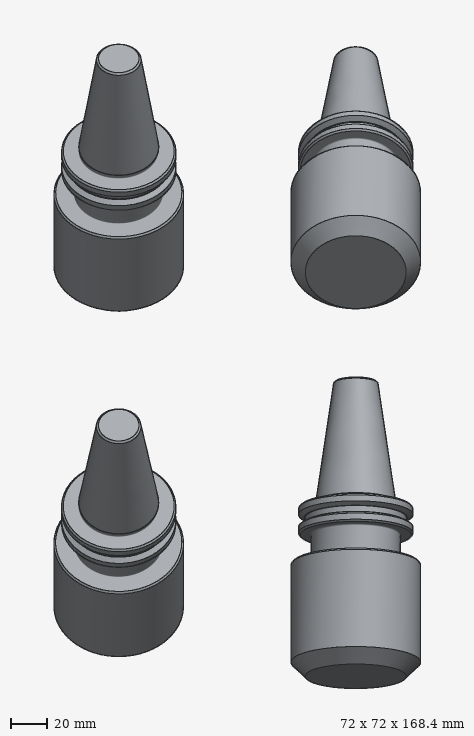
import cadquery as cq
import math


gauge_diameter = 44.45
gauge_land_length = 0.5
taper_length = 68.4
taper_ratio = 7 / 24
shank_end_chamfer = 1.0
relief_diameter = 44.0
relief_root_fillet = 0.35

flange_diameter = 63.55
flange_top = -3.2
flange_bottom = -19.1
flange_chamfer = 1.0
groove_center = -11.1
groove_rim_width = 7.0
groove_floor_width = 3.5
groove_floor_diameter = 56.25
groove_side_angle = 30

neck_diameter = 49.5
neck_top_fillet = 0.8
neck_bottom_fillet = 0.35

body_diameter = 72.0
body_top = -35.4
body_bottom = -100.0
body_top_chamfer = 1.0
body_nose_chamfer = 8.0


def cylinder(diameter, bottom, top):
    return cq.Workplane("XY").workplane(offset=bottom).circle(diameter / 2).extrude(top - bottom)


def revolve_about_z(profile):
    """Turn a closed profile, drawn as radius and height, once around the Z axis."""
    return profile.revolve(360, (0, 0), (0, 1))


def root_fillet(diameter, face_z, radius, direction):
    """Ring filling the corner of a cylinder and a flat face; direction is +1 above the face, -1 below."""
    wall = diameter / 2
    tangent_z = face_z + direction * radius
    arc_offset = radius * (1 - math.sqrt(0.5))
    profile = (
        cq.Workplane("XZ")
        .moveTo(wall, face_z)
        .lineTo(wall + radius, face_z)
        .threePointArc((wall + arc_offset, face_z + direction * arc_offset), (wall, tangent_z))
        .close()
    )
    return revolve_about_z(profile)


def make_shank():
    gauge_radius = gauge_diameter / 2
    end_radius = gauge_radius - taper_length * taper_ratio / 2
    profile = (
        cq.Workplane("XZ")
        .moveTo(0, -gauge_land_length)
        .lineTo(gauge_radius, -gauge_land_length)
        .lineTo(gauge_radius, 0)
        .lineTo(end_radius, taper_length)
        .lineTo(0, taper_length)
        .close()
    )
    taper = revolve_about_z(profile).faces(">Z").chamfer(shank_end_chamfer)
    relief = cylinder(relief_diameter, flange_top, -gauge_land_length)
    return taper.union(relief).union(root_fillet(relief_diameter, flange_top, relief_root_fillet, 1))


def make_groove_cutter():
    rim_radius = flange_diameter / 2
    floor_radius = groove_floor_diameter / 2
    rim_half_width = groove_rim_width / 2
    floor_half_width = groove_floor_width / 2
    side_depth = (rim_half_width - floor_half_width) / math.tan(math.radians(groove_side_angle))
    step_radius = rim_radius - side_depth
    profile = (
        cq.Workplane("XZ")
        .moveTo(floor_radius, groove_center - floor_half_width)
        .lineTo(step_radius, groove_center - floor_half_width)
        .lineTo(rim_radius, groove_center - rim_half_width)
        .lineTo(rim_radius, groove_center + rim_half_width)
        .lineTo(step_radius, groove_center + floor_half_width)
        .lineTo(floor_radius, groove_center + floor_half_width)
        .close()
    )
    return revolve_about_z(profile)


def make_flange():
    blank = cylinder(flange_diameter, flange_bottom, flange_top)
    blank = blank.faces("<Z or >Z").chamfer(flange_chamfer)
    return blank.cut(make_groove_cutter())


def make_neck():
    neck = cylinder(neck_diameter, body_top, flange_bottom)
    neck = neck.union(root_fillet(neck_diameter, flange_bottom, neck_top_fillet, -1))
    return neck.union(root_fillet(neck_diameter, body_top, neck_bottom_fillet, 1))


def make_body():
    body = cylinder(body_diameter, body_bottom, body_top)
    body = body.faces(">Z").chamfer(body_top_chamfer)
    return body.faces("<Z").chamfer(body_nose_chamfer)


result = make_shank().union(make_flange()).union(make_neck()).union(make_body())